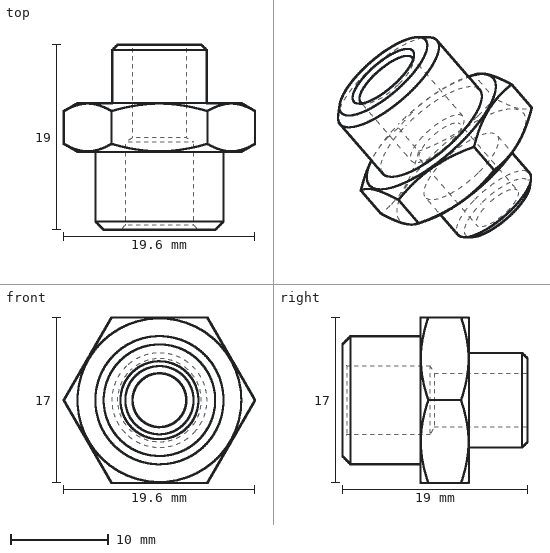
import cadquery as cq
import math

HEX_ACROSS_FLATS = 17.0
HEX_WIDTH = 5.0
HEX_FACE_DIAMETER = 16.8
HEX_CHAMFER_ANGLE = 30.0

FRONT_LENGTH = 8.0
FRONT_DIAMETER = 13.157
FRONT_ROOT_DIAMETER = 11.445

REAR_LENGTH = 6.0
REAR_DIAMETER = 9.728
REAR_ROOT_DIAMETER = 8.566

MOUTH_DIAMETER = 8.0
MOUTH_CHAMFER_ANGLE = 45.0
BORE_DIAMETER = 7.0
BORE_DEPTH = 9.0
DRILL_POINT_ANGLE = 118.0
HOLE_DIAMETER = 5.5

HEX_FRONT_Y = 0.0
HEX_REAR_Y = HEX_FRONT_Y + HEX_WIDTH
FRONT_END_Y = HEX_FRONT_Y - FRONT_LENGTH
REAR_END_Y = HEX_REAR_Y + REAR_LENGTH


def revolve_profile(points):
    """Revolve (radius, y) points about the Y axis."""
    return cq.Workplane("XY").polyline(points).close().revolve(360, (0, 0), (0, 1))


def make_spigot(base_y, end_y, diameter, root_diameter):
    """Cylinder from base_y to end_y with a 45 degree chamfer down to the thread root."""
    radius = diameter / 2
    root_radius = root_diameter / 2
    chamfer_y = end_y - math.copysign(radius - root_radius, end_y - base_y)
    return revolve_profile(
        [(0, base_y), (radius, base_y), (radius, chamfer_y), (root_radius, end_y), (0, end_y)]
    )


def make_hexagon():
    """Hexagonal collar whose corners are cut back by a cone on both sides."""
    corner_radius = HEX_ACROSS_FLATS / math.sqrt(3)
    face_radius = HEX_FACE_DIAMETER / 2
    corner_setback = (corner_radius - face_radius) * math.tan(math.radians(HEX_CHAMFER_ANGLE))
    prism = (
        cq.Workplane("XZ", origin=(0, HEX_FRONT_Y, 0))
        .polygon(6, 2 * corner_radius)
        .extrude(-HEX_WIDTH)
    )
    envelope = revolve_profile(
        [
            (0, HEX_FRONT_Y),
            (face_radius, HEX_FRONT_Y),
            (corner_radius, HEX_FRONT_Y + corner_setback),
            (corner_radius, HEX_REAR_Y - corner_setback),
            (face_radius, HEX_REAR_Y),
            (0, HEX_REAR_Y),
        ]
    )
    return prism.intersect(envelope)


def make_bore():
    """Stepped through bore entering from the front end."""
    mouth_radius = MOUTH_DIAMETER / 2
    bore_radius = BORE_DIAMETER / 2
    hole_radius = HOLE_DIAMETER / 2
    mouth_depth = (mouth_radius - bore_radius) / math.tan(math.radians(MOUTH_CHAMFER_ANGLE))
    cone_depth = (bore_radius - hole_radius) / math.tan(math.radians(DRILL_POINT_ANGLE / 2))
    bore_end_y = FRONT_END_Y + BORE_DEPTH
    return revolve_profile(
        [
            (0, FRONT_END_Y),
            (mouth_radius, FRONT_END_Y),
            (bore_radius, FRONT_END_Y + mouth_depth),
            (bore_radius, bore_end_y),
            (hole_radius, bore_end_y + cone_depth),
            (hole_radius, REAR_END_Y),
            (0, REAR_END_Y),
        ]
    )


front_spigot = make_spigot(HEX_FRONT_Y, FRONT_END_Y, FRONT_DIAMETER, FRONT_ROOT_DIAMETER)
rear_spigot = make_spigot(HEX_REAR_Y, REAR_END_Y, REAR_DIAMETER, REAR_ROOT_DIAMETER)
result = make_hexagon().union(front_spigot).union(rear_spigot).cut(make_bore())